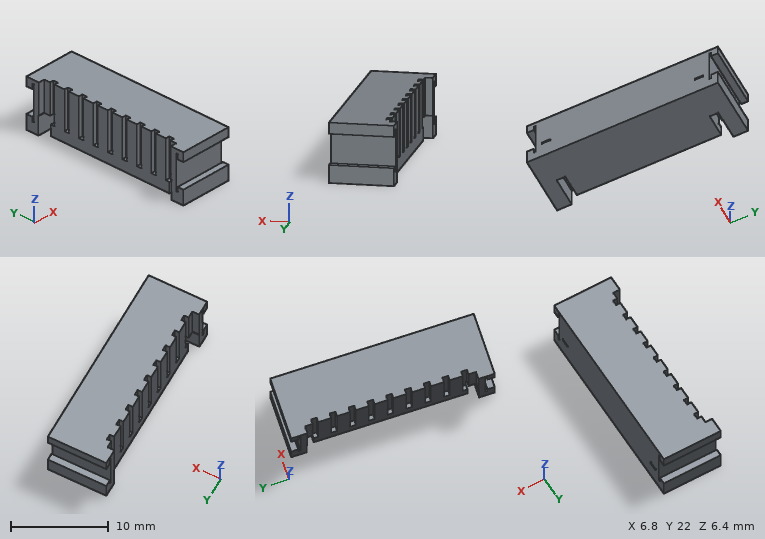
import cadquery as cq

WIDTH = 6.8
LENGTH = 22.0
HEIGHT = 6.4

FRONT = -WIDTH / 2
END = LENGTH / 2
BOTTOM = -HEIGHT / 2
TOP = HEIGHT / 2

TOP_FLANGE = 1.19
BOTTOM_FLANGE = 1.91
FLANGE_LIP = 0.8
CHANNEL_DEPTH = 1.01
UNDERCUT_TOP = 0.6
UNDERCUT_BOTTOM = 1.32

POST_LENGTH = 1.75
RECESS_DEPTH = 0.8
RECESS_FACE = FRONT + RECESS_DEPTH

GROOVE_COUNT = 9
GROOVE_WIDTH = 0.62
GROOVE_DEPTH = 0.5
GROOVE_FLOOR = 1.39
GROOVE_MARGIN = 2.57
GROOVE_SPAN = LENGTH - 2 * GROOVE_MARGIN - GROOVE_WIDTH
GROOVE_PITCH = GROOVE_SPAN / (GROOVE_COUNT - 1)

SLOT_OFFSET = 1.7
SLOT_WIDTH = 1.0
SLOT_HEIGHT = 2.4
SILL_HEIGHT = 2.2
SILL_THICKNESS = WIDTH / 2


def box(x_range, y_range, z_range):
    """Axis-aligned box between the given limits."""
    size = [high - low for low, high in (x_range, y_range, z_range)]
    corner = (x_range[0], y_range[0], z_range[0])
    return cq.Workplane("XY").box(*size, centered=False).translate(corner)


def end_channel():
    """T-shaped channel running along X at the +Y end."""
    wall = END - CHANNEL_DEPTH
    lip = END - FLANGE_LIP
    opening = box((FRONT, -FRONT), (wall, END), (BOTTOM + BOTTOM_FLANGE, TOP - TOP_FLANGE))
    undercut = box((FRONT, -FRONT), (wall, lip), (BOTTOM + UNDERCUT_BOTTOM, TOP - UNDERCUT_TOP))
    return opening.union(undercut)


def bottom_slot():
    """Slot open at the front and below, with a gap over the sill at the back."""
    outer = END - SLOT_OFFSET
    y_range = (outer - SLOT_WIDTH, outer)
    passage = box((FRONT, -FRONT), y_range, (BOTTOM, BOTTOM + SLOT_HEIGHT))
    sill = box((-FRONT - SILL_THICKNESS, -FRONT), y_range, (BOTTOM, BOTTOM + SILL_HEIGHT))
    return passage.cut(sill)


def front_recess():
    """Full-height recess between the two end posts."""
    inner = END - POST_LENGTH
    return box((FRONT, RECESS_FACE), (-inner, inner), (BOTTOM, TOP))


def groove(index):
    """Vertical groove, open at the top."""
    start = -END + GROOVE_MARGIN + index * GROOVE_PITCH
    return box(
        (RECESS_FACE, RECESS_FACE + GROOVE_DEPTH),
        (start, start + GROOVE_WIDTH),
        (BOTTOM + GROOVE_FLOOR, TOP),
    )


result = box((FRONT, -FRONT), (-END, END), (BOTTOM, TOP)).cut(front_recess())

for end_cut in (end_channel(), bottom_slot()):
    result = result.cut(end_cut).cut(end_cut.mirror("XZ"))

for groove_index in range(GROOVE_COUNT):
    result = result.cut(groove(groove_index))